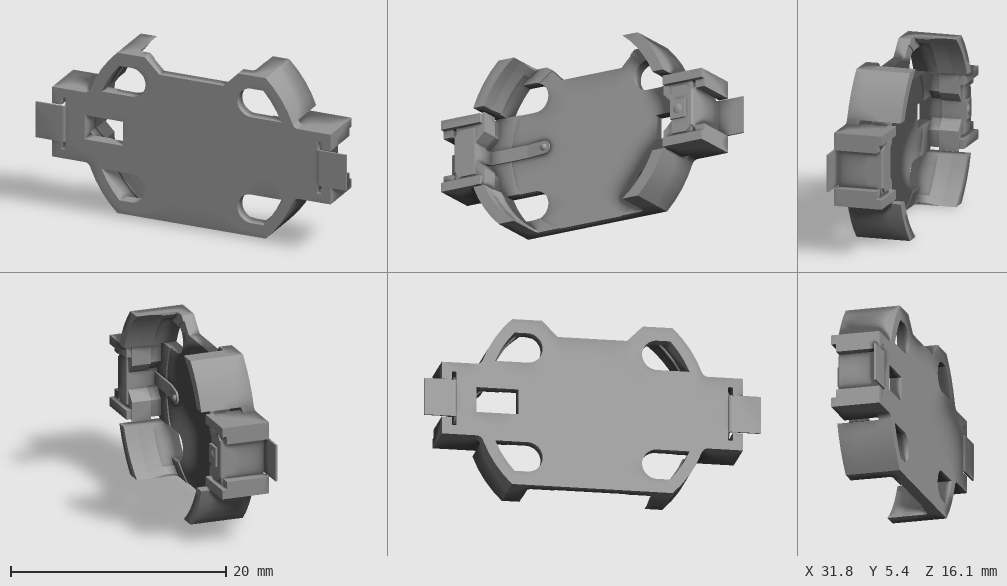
import cadquery as cq
import math


floor_top = 1.25
half_height = 8.05
outer_radius = 11.07
cutout_depth = 1.5
cutout_half_top = 4.77
cutout_half_bottom = cutout_half_top - cutout_depth

pocket_radius = 10.0
snap_radius = 9.8
snap_bottom = 2.45
snap_top = 3.85
recess_radius = 8.7
recess_depth = 0.13

wall_top = 5.25
wall_start_x = 5.88
wall_start_z = 3.88
wall_root_radius = 0.38
foot_end_x = 6.55

block_end = 14.25
block_start = pocket_radius
block_half_width = 3.5
block_top = 4.67
corner_radius = 0.65
tab_recess_half_width = 1.85
channel_floor = 4.2
slot_inner = 12.85
slot_outer = 13.3
slot_half_width = 2.6
slot_corner_radius = 0.1
cavity_end = 10.95
cavity_half_width = 0.92

hole_radius = 1.43
hole_center_x = 6.15
hole_center_z = wall_start_z + hole_radius
window_inner = 7.0
window_half_width = 1.2

sheet = 0.2
tab_end = 15.9
tab_half_width = 1.78
tab_bottom = -0.15
inner_bend = 0.13
outer_bend = inner_bend + sheet
plate_half_width = 2.3
shoulder = plate_half_width - tab_half_width
sheet_top = channel_floor + sheet

wing_half_width = 3.72
wing_bottom = 2.3

tongue_length = 1.6
tongue_half_width = cavity_half_width
tongue_top = 4.6
tongue_dome_radius = 0.48
tongue_dome_height = 0.13

arm_half_width = 0.65
arm_tip = 4.1
arm_bend_x = 6.68
arm_low = 1.4
arm_high = 1.78
arm_dome_x = 4.7
arm_dome_radius = 0.35
arm_dome_height = 0.3
arm_dome_sink = 0.1


def plan(y):
    """Workplane at height y: local x is X, local y is Z."""
    return cq.Workplane("XZ", origin=(0, y, 0))


def block(x0, x1, y0, y1, z0, z1):
    return cq.Workplane("XY").box(x1 - x0, y1 - y0, z1 - z0, centered=False).translate((x0, y0, z0))


def disc(radius, y0, y1):
    return plan(y0).circle(radius).extrude(y0 - y1)


def both_sides(shape):
    return shape.union(shape.mirror("YZ"))


def four_corners(shape):
    half = both_sides(shape)
    return half.union(half.mirror("XY"))


def dome(x, y_base, base_radius, height):
    """Spherical cap that rises in +Y from a base circle at (x, y_base, 0)."""
    radius = (base_radius**2 + height**2) / (2 * height)
    ball = cq.Workplane("XY").sphere(radius).translate((x, y_base + height - radius, 0))
    return ball.intersect(block(x - radius, x + radius, y_base, y_base + height, -radius, radius))


def flank_disc(height):
    """Round holder outline, flattened at the top and bottom edges."""
    flat = block(-outer_radius, outer_radius, 0, height, -half_height, half_height)
    return disc(outer_radius, 0, height).intersect(flat)


def corner_fillet():
    """Concave fillet that runs from an end block's side into the round flank."""
    center_z = block_half_width + corner_radius
    reach = outer_radius + corner_radius
    center_x = math.sqrt(reach**2 - center_z**2)
    touch_x = center_x * outer_radius / reach
    touch_z = center_z * outer_radius / reach
    half_turn = math.atan2(center_x - touch_x, center_z - touch_z) / 2
    middle = (center_x - corner_radius * math.sin(half_turn), center_z - corner_radius * math.cos(half_turn))
    return (plan(0).moveTo(pocket_radius, block_half_width).lineTo(center_x, block_half_width)
            .threePointArc(middle, (touch_x, touch_z)).lineTo(pocket_radius, touch_z)
            .close().extrude(-floor_top))


def retaining_walls():
    sector = block(wall_start_x, outer_radius, 0, wall_top, wall_start_z, half_height)
    return four_corners(flank_disc(wall_top).intersect(sector))


def wall_feet():
    """Thickened lower ends of the walls, each rounded into the floor."""
    root_x = wall_start_x - wall_root_radius
    root_y = floor_top + wall_root_radius
    foot = block(wall_start_x, foot_end_x, floor_top, snap_bottom, wall_start_z, half_height)
    root = block(root_x, wall_start_x, floor_top, root_y, wall_start_z, half_height)
    scoop = (cq.Workplane("XY", origin=(root_x, root_y, wall_start_z)).circle(wall_root_radius)
             .extrude(half_height - wall_start_z))
    foot = foot.union(root.cut(scoop)).cut(disc(snap_radius, floor_top, snap_bottom))
    return four_corners(foot)


def cell_pocket():
    """Round pocket above the floor, narrowed by the tapered snap rim."""
    profile = [(0, floor_top), (pocket_radius, floor_top), (pocket_radius, snap_bottom),
               (snap_radius, snap_bottom), (pocket_radius, snap_top),
               (pocket_radius, wall_top), (0, wall_top)]
    return cq.Workplane("XY").polyline(profile).close().revolve(360, (0, 0, 0), (0, 1, 0))


def finger_cutout():
    low = half_height - cutout_depth
    return (plan(0).polyline([(-cutout_half_bottom, low), (cutout_half_bottom, low),
                              (cutout_half_top, half_height), (-cutout_half_top, half_height)])
            .close().extrude(-floor_top))


def corner_holes():
    """Openings that are round at the inner end and follow the flank at the outer end."""
    straight = block(hole_center_x, outer_radius, 0, floor_top,
                     hole_center_z - hole_radius, hole_center_z + hole_radius)
    round_end = plan(0).center(hole_center_x, hole_center_z).circle(hole_radius).extrude(-floor_top)
    hole = straight.union(round_end).intersect(disc(pocket_radius, 0, floor_top))
    return four_corners(hole)


def terminal_cuts():
    """Slot for the upright plate, recess behind the tab and channel over the end block."""
    slot = (block(slot_inner, slot_outer, 0, block_top, -slot_half_width, slot_half_width)
            .edges("|Y").fillet(slot_corner_radius))
    recess = block(slot_inner, block_end, 0, block_top, -tab_recess_half_width, tab_recess_half_width)
    channel = block(0, block_end, channel_floor, wall_top, -slot_half_width, slot_half_width)
    channel = channel.edges("|X and <Y").fillet(slot_corner_radius)
    return both_sides(slot.union(recess).union(channel))


def cavity():
    """Trapezoidal hollow in an end block's inner face."""
    mouth_half_width = cavity_half_width + cavity_end - block_start
    return (plan(floor_top)
            .polyline([(block_start, -mouth_half_width), (cavity_end, -cavity_half_width),
                       (cavity_end, cavity_half_width), (block_start, mouth_half_width)])
            .close().extrude(floor_top - block_top))


def make_housing():
    end = block(block_start, block_end, 0, block_top, -block_half_width, block_half_width)
    base = block(-block_end, block_end, 0, floor_top, -block_half_width, block_half_width)
    body = flank_disc(floor_top).union(base).union(four_corners(corner_fillet()))
    body = body.union(both_sides(end.cut(cavity()))).union(retaining_walls())
    body = body.cut(cell_pocket()).cut(disc(recess_radius, floor_top - recess_depth, floor_top))
    body = body.cut(finger_cutout()).cut(corner_holes()).cut(terminal_cuts())
    body = body.union(wall_feet())
    window = block(-cavity_end, -window_inner, 0, floor_top, -window_half_width, window_half_width)
    return body.cut(window)


def wings():
    """Upright sheet that lines the right cavity and spreads into two wings along the block's face."""
    lining_x = cavity_end - sheet
    face_x = block_start - sheet
    back_knee = cavity_half_width + cavity_end - block_start
    front_flat = cavity_half_width - sheet * math.tan(math.pi / 8)
    front_knee = front_flat + lining_x - face_x
    back = [(block_start, -wing_half_width), (block_start, -back_knee), (cavity_end, -cavity_half_width),
            (cavity_end, cavity_half_width), (block_start, back_knee), (block_start, wing_half_width)]
    front = [(face_x, wing_half_width), (face_x, front_knee), (lining_x, front_flat),
             (lining_x, -front_flat), (face_x, -front_knee), (face_x, -wing_half_width)]
    return plan(wing_bottom).polyline(back + front).close().extrude(wing_bottom - channel_floor)


def terminal():
    """Right-hand terminal: solder tab, upright plate, sheet over the end block and cell wings."""
    sheet_end = cavity_end - sheet
    plate_outer = slot_inner + sheet
    bend_x = slot_inner + outer_bend
    bend_y = tab_bottom + outer_bend
    tab_top = tab_bottom + sheet
    diagonal = math.sqrt(0.5)
    profile = (cq.Workplane("XY", origin=(0, 0, -plate_half_width))
               .moveTo(tab_end, tab_bottom).lineTo(bend_x, tab_bottom)
               .threePointArc((bend_x - outer_bend * diagonal, bend_y - outer_bend * diagonal),
                              (slot_inner, bend_y))
               .lineTo(slot_inner, channel_floor).lineTo(sheet_end, channel_floor)
               .lineTo(sheet_end, sheet_top).lineTo(slot_inner, sheet_top)
               .threePointArc((slot_inner + sheet * diagonal, channel_floor + sheet * diagonal),
                              (plate_outer, channel_floor))
               .lineTo(plate_outer, bend_y)
               .threePointArc((bend_x - inner_bend * diagonal, bend_y - inner_bend * diagonal),
                              (bend_x, tab_top))
               .lineTo(tab_end, tab_top).close().extrude(2 * plate_half_width))

    wide_low = bend_y + shoulder
    wide_high = channel_floor - shoulder
    upright = [(-tab_half_width, tab_bottom), (-tab_half_width, bend_y), (-plate_half_width, wide_low),
               (-plate_half_width, wide_high), (-tab_half_width, channel_floor), (-tab_half_width, sheet_top)]
    mirrored = [(-z, y) for z, y in reversed(upright)]
    upright_outline = (cq.Workplane("YZ", origin=(slot_inner, 0, 0))
                       .polyline([(y, z) for z, y in upright + mirrored]).close()
                       .extrude(tab_end - slot_inner))
    wide_x = slot_inner - shoulder
    sheet_outline = (plan(channel_floor)
                     .polyline([(slot_inner, -tab_half_width), (wide_x, -plate_half_width),
                                (sheet_end, -plate_half_width), (sheet_end, plate_half_width),
                                (wide_x, plate_half_width), (slot_inner, tab_half_width)])
                     .close().extrude(-sheet))
    return profile.intersect(upright_outline.union(sheet_outline)).union(wings())


def make_left_terminal():
    """Terminal moulded into the housing, with a domed tongue on its inner end."""
    tongue_end = cavity_end - sheet
    tongue = block(-tongue_end - tongue_length, -tongue_end, sheet_top, tongue_top,
                   -tongue_half_width, tongue_half_width)
    tongue_dome = dome(-tongue_end - tongue_length / 2, tongue_top, tongue_dome_radius, tongue_dome_height)
    return terminal().mirror("YZ").union(tongue).union(tongue_dome)


def spring_arm():
    """Narrow arm that runs level over the floor, then rises to a rounded tip with a dome."""
    root_x = cavity_end
    side = (cq.Workplane("XY", origin=(0, 0, -arm_half_width))
            .polyline([(arm_tip, arm_high), (arm_bend_x, arm_low), (root_x, arm_low),
                       (root_x, arm_low + sheet), (arm_bend_x, arm_low + sheet), (arm_tip, arm_high + sheet)])
            .close().extrude(2 * arm_half_width))
    tip_center = arm_tip + arm_half_width
    outline = (plan(0).center(tip_center, 0).circle(arm_half_width).extrude(-wall_top)
               .union(block(tip_center, root_x, 0, wall_top, -arm_half_width, arm_half_width)))
    rise = (arm_high - arm_low) * (arm_bend_x - arm_dome_x) / (arm_bend_x - arm_tip)
    dome_base = arm_low + rise + sheet - arm_dome_sink
    bump = dome(arm_dome_x, dome_base, arm_dome_radius, arm_dome_height + arm_dome_sink)
    return side.intersect(outline).union(bump)


def make_spring_contact():
    drop = block(cavity_end - sheet, cavity_end, arm_low, wing_bottom, -arm_half_width, arm_half_width)
    return terminal().union(drop).union(spring_arm())


housing = make_housing().union(make_left_terminal())
spring_contact = make_spring_contact()
result = cq.Compound.makeCompound([housing.val(), spring_contact.val()])